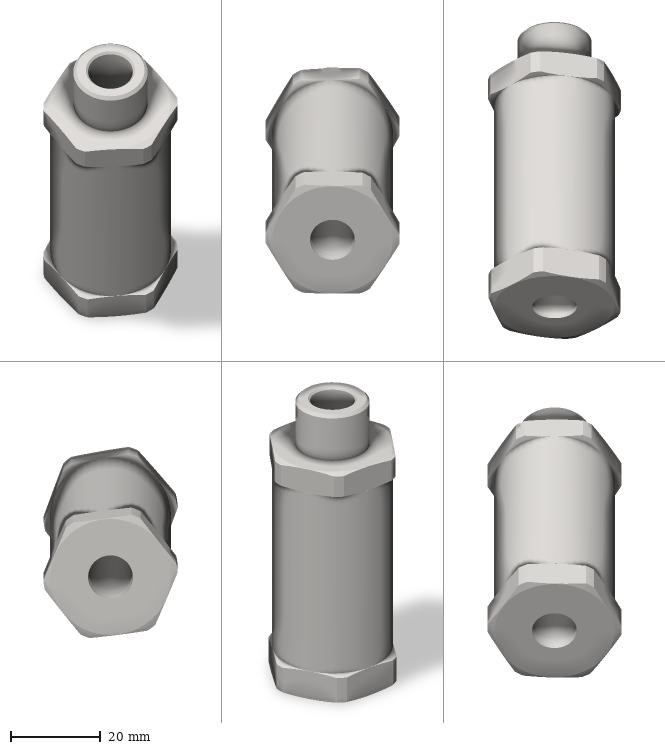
import cadquery as cq
import math

TOTAL_HEIGHT = 69.5
HOUSING_HEX_HEIGHT = 7.1
FITTING_HEX_HEIGHT = 6.05
SPIGOT_HEIGHT = 11.4
FITTING_BASE_Z = TOTAL_HEIGHT - SPIGOT_HEIGHT - FITTING_HEX_HEIGHT

HEX_SIDES = 6
ACROSS_FLATS = 27.05
CORNER_DIAMETER = 30.0
HEX_FACE_DIAMETER = 26.8
HEX_CHAMFER_ANGLE = 15.0
FITTING_TURN = -2.6

TUBE_DIAMETER = ACROSS_FLATS
SPIGOT_DIAMETER = 16.6
SPIGOT_CHAMFER = 0.7
BORE_DIAMETER = 10.0
BORE_CHAMFER = 0.5


def chamfered_hexagon(height):
    """Hexagon with round corners, standing on Z = 0 with corners on the Y axis."""
    corner_radius = CORNER_DIAMETER / 2
    face_radius = HEX_FACE_DIAMETER / 2
    chamfer_height = (corner_radius - face_radius) * math.tan(math.radians(HEX_CHAMFER_ANGLE))
    side_angle = 360 / HEX_SIDES
    sharp_radius = ACROSS_FLATS / 2 / math.cos(math.radians(side_angle / 2))
    corner_angles = [math.radians(90 + side_angle * side) for side in range(HEX_SIDES)]
    corners = [(sharp_radius * math.cos(a), sharp_radius * math.sin(a)) for a in corner_angles]
    prism = cq.Workplane("XY").polyline(corners).close().extrude(height)
    turned_blank = (
        cq.Workplane("XZ")
        .moveTo(0, 0)
        .lineTo(face_radius, 0)
        .lineTo(corner_radius, chamfer_height)
        .lineTo(corner_radius, height - chamfer_height)
        .lineTo(face_radius, height)
        .lineTo(0, height)
        .close()
        .revolve(360, (0, 0, 0), (0, 1, 0))
    )
    return prism.intersect(turned_blank)


def through_bore():
    """Straight flow passage shared by both bodies."""
    return cq.Workplane("XY").circle(BORE_DIAMETER / 2).extrude(TOTAL_HEIGHT)


def make_housing():
    """Tubular housing with a hexagon at its lower end."""
    tube = (
        cq.Workplane("XY")
        .workplane(offset=HOUSING_HEX_HEIGHT)
        .circle(TUBE_DIAMETER / 2)
        .extrude(FITTING_BASE_Z - HOUSING_HEX_HEIGHT)
    )
    return chamfered_hexagon(HOUSING_HEX_HEIGHT).union(tube).cut(through_bore())


def make_fitting():
    """Hexagonal end fitting with a chamfered spigot."""
    hexagon = (
        chamfered_hexagon(FITTING_HEX_HEIGHT)
        .rotate((0, 0, 0), (0, 0, 1), FITTING_TURN)
        .translate((0, 0, FITTING_BASE_Z))
    )
    spigot = (
        cq.Workplane("XY")
        .workplane(offset=TOTAL_HEIGHT - SPIGOT_HEIGHT)
        .circle(SPIGOT_DIAMETER / 2)
        .extrude(SPIGOT_HEIGHT)
        .faces(">Z")
        .chamfer(SPIGOT_CHAMFER)
    )
    bored = hexagon.union(spigot).cut(through_bore())
    mouth_edge = bored.faces(">Z").edges(cq.selectors.RadiusNthSelector(0))
    return mouth_edge.chamfer(BORE_CHAMFER)


housing = make_housing()
fitting = make_fitting()

result = cq.Compound.makeCompound([housing.solids().val(), fitting.solids().val()])